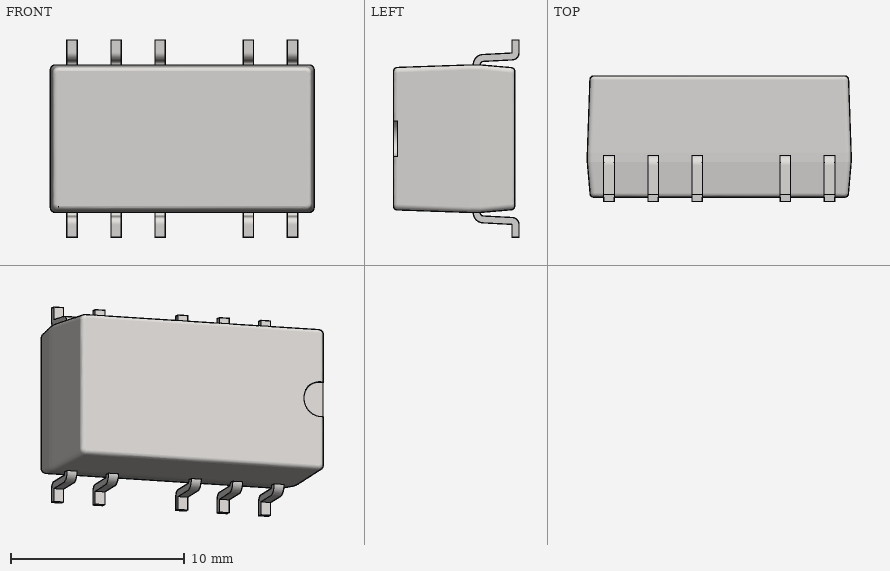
import cadquery as cq
import math

body_length = 15.24
body_width = 8.53
total_depth = 7.25
lead_span = 11.4

standoff = 0.25
belt_start = 2.25
belt_end = 2.8
base_draft = 5.0
cover_draft = 2.0
corner_radius = 0.3
base_edge_radius = 0.23
cover_edge_radius = 0.25

mark_radius = 1.02
mark_depth = cover_edge_radius

lead_pitch = 2.55
lead_positions = [-2.5, -1.5, -0.5, 1.5, 2.5]
lead_width = 0.61
lead_thickness = 0.41
lead_back = 2.65
foot_length = 0.75
leg_slope = 3.0
lead_root = 3.05
shoulder_inner_radius = 0.18


def rounded_outline(y, inset):
    """Round-cornered body outline at Y = y, inset from the belt; the local normal points to -Y."""
    return (
        cq.Sketch()
        .rect(body_length - 2 * inset, body_width - 2 * inset)
        .vertices()
        .fillet(corner_radius)
        .moved(cq.Location(cq.Vector(0, 0, -y)))
    )


def draft_inset(height, draft):
    """Distance a drafted wall leans inwards over the given height."""
    return height * math.tan(math.radians(draft))


def make_body():
    base_inset = draft_inset(belt_start - standoff, base_draft)
    cover_inset = draft_inset(total_depth - belt_end, cover_draft)
    sections = [
        rounded_outline(standoff, base_inset),
        rounded_outline(belt_start, 0),
        rounded_outline(belt_end, 0),
        rounded_outline(total_depth, cover_inset),
    ]
    body = cq.Workplane("XZ").placeSketch(*sections).loft(ruled=True)
    body = body.faces("<Y").edges().fillet(base_edge_radius)
    return body.faces(">Y").edges().fillet(cover_edge_radius)


def make_mark():
    """Cutter with straight sides through the rounded edge and a half-round inner end."""
    inset = draft_inset(total_depth - belt_end, cover_draft) + cover_edge_radius
    wall = -body_length / 2
    round_center = wall + inset
    return (
        cq.Workplane("XZ", origin=(0, total_depth, 0))
        .moveTo(wall, -mark_radius)
        .lineTo(round_center, -mark_radius)
        .threePointArc((round_center + mark_radius, 0), (round_center, mark_radius))
        .lineTo(wall, mark_radius)
        .close()
        .extrude(mark_depth)
    )


def make_lead(x):
    """One +Z lead centered at x: out of the belt, along the body, then out to the foot."""
    slope = math.tan(math.radians(leg_slope))
    tip = lead_span / 2
    leg_outer = tip - foot_length
    leg_inner = leg_outer - lead_thickness / math.cos(math.radians(leg_slope))
    lead_front = lead_back - lead_thickness

    def sloped(z_at_foot, y):
        return z_at_foot - (y - lead_thickness) * slope

    shoulder_outer = (lead_back, sloped(leg_outer, lead_back))
    shoulder_inner = (lead_front, sloped(leg_inner, lead_front))
    heel = (0, sloped(leg_inner, 0))
    outline = [
        (lead_back, lead_root),
        shoulder_outer,
        (lead_thickness, leg_outer),
        (lead_thickness, tip),
        (0, tip),
        heel,
        shoulder_inner,
        (lead_front, lead_root),
    ]
    lead = (
        cq.Workplane("YZ", origin=(x, 0, 0))
        .polyline(outline)
        .close()
        .extrude(lead_width / 2, both=True)
    )
    bends = [
        (shoulder_outer, shoulder_inner_radius + lead_thickness),
        (shoulder_inner, shoulder_inner_radius),
        (heel, lead_thickness),
    ]
    for (y, z), radius in bends:
        lead = lead.edges(cq.NearestToPointSelector((x, y, z))).fillet(radius)
    return lead


result = make_body().cut(make_mark())
for position in lead_positions:
    lead = make_lead(position * lead_pitch)
    result = result.union(lead).union(lead.mirror("XY"))